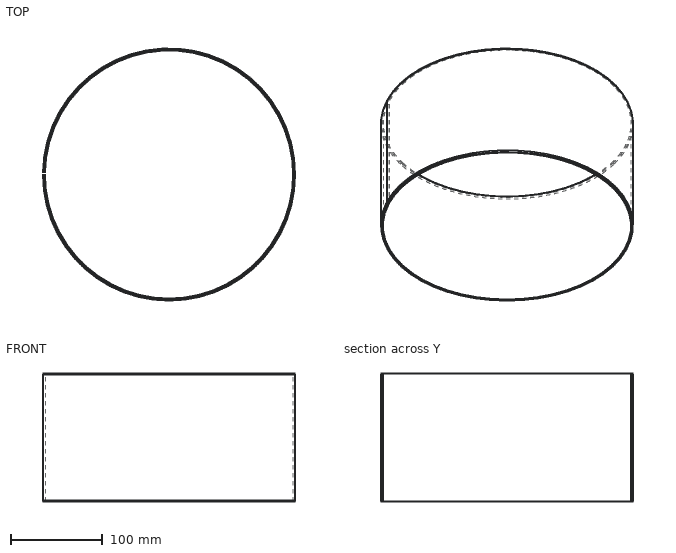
import cadquery as cq
import math

outer_diameter = 275.0
height = 140.0
wall_thickness = 2.5
slit_angle = 1.0

outer_bevel_angle = 20.0
outer_bevel_height = 1.8
inner_bevel_angle = 30.0
inner_bevel_height = 0.6

outer_radius = outer_diameter / 2
inner_radius = outer_radius - wall_thickness
outer_bevel_width = outer_bevel_height * math.tan(math.radians(outer_bevel_angle))
inner_bevel_width = inner_bevel_height * math.tan(math.radians(inner_bevel_angle))


def bevelled_ring():
    """Revolve the bevelled wall section a full turn about Z."""
    section = (
        cq.Workplane("XZ")
        .moveTo(inner_radius, inner_bevel_height)
        .lineTo(inner_radius + inner_bevel_width, 0)
        .lineTo(outer_radius - outer_bevel_width, 0)
        .lineTo(outer_radius, outer_bevel_height)
        .lineTo(outer_radius, height - outer_bevel_height)
        .lineTo(outer_radius - outer_bevel_width, height)
        .lineTo(inner_radius + inner_bevel_width, height)
        .lineTo(inner_radius, height - inner_bevel_height)
        .close()
    )
    return section.revolve(360, (0, 0, 0), (0, 1, 0))


def slit_cutter():
    """Full-height wedge on the axis with one face on -X and the other turned towards +Y."""
    return (
        cq.Workplane("XZ")
        .rect(-outer_diameter, height, centered=False)
        .revolve(slit_angle, (0, 0, 0), (0, -1, 0))
    )


result = bevelled_ring().cut(slit_cutter())